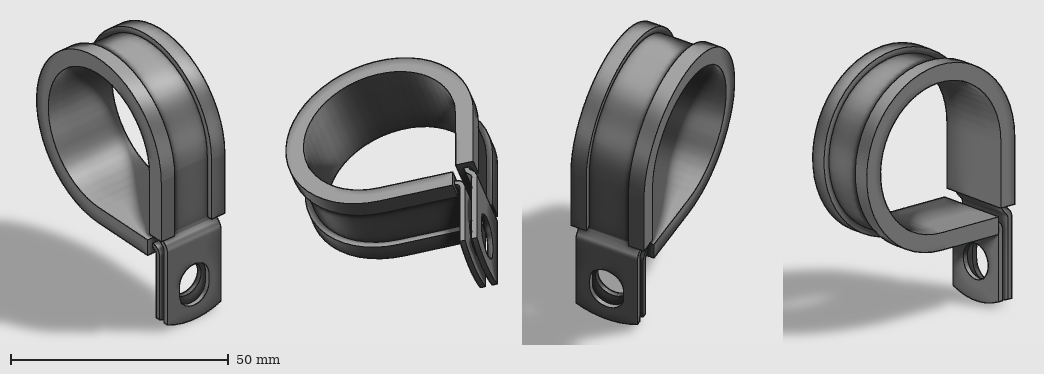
import cadquery as cq
import math

cushion_outer_radius = 22.5
cushion_inner_radius = 18.25
cushion_width = 18.92
lip_width = 4.0
upright_end_z = -16.3
bottom_end_x = 17.57

band_thickness = 1.25
band_width = 15.92
band_outer_radius = 21.0
bend_inner_radius = 1.25
jog_angle = math.radians(45)

tab_outer_x = 22.91
tab_gap = 1.6
tab_bottom_z = -41.22
tab_tip_radius = 19.5
hole_diameter = 8.7
hole_z = -31.7
slot_length = 11.2

groove_width = cushion_width - 2 * lip_width
band_radius = band_outer_radius - band_thickness / 2
bend_radius = bend_inner_radius + band_thickness / 2
outer_tab_x = tab_outer_x - band_thickness / 2
inner_tab_x = outer_tab_x - tab_gap - band_thickness
gap_middle_x = (inner_tab_x + outer_tab_x) / 2


def on_circle(radius, angle):
    """Point at an angle from +X on a circle about the clamp axis."""
    return (radius * math.cos(angle), radius * math.sin(angle))


def wrapped_strip(inner_radius, outer_radius, width):
    """Strip of rectangular section: upright leg, three-quarter turn, bottom leg."""
    mid_turn = math.radians(135)
    return (
        cq.Workplane("XZ")
        .moveTo(outer_radius, upright_end_z)
        .lineTo(outer_radius, 0)
        .threePointArc(on_circle(outer_radius, mid_turn), (0, -outer_radius))
        .lineTo(bottom_end_x, -outer_radius)
        .lineTo(bottom_end_x, -inner_radius)
        .lineTo(0, -inner_radius)
        .threePointArc(on_circle(inner_radius, mid_turn), (inner_radius, 0))
        .lineTo(inner_radius, upright_end_z)
        .close()
        .extrude(width / 2, both=True)
    )


def make_cushion():
    """Rubber strip with a central groove that exposes the band between two lips."""
    body = wrapped_strip(cushion_inner_radius, cushion_outer_radius, cushion_width)
    groove = wrapped_strip(band_outer_radius, cushion_outer_radius, groove_width)
    return body.cut(groove)


def band_centreline():
    """Mid-thickness path of the band from the inner tab, round the loop, to the outer tab."""
    arc_shift = bend_radius * (1 - math.cos(jog_angle))
    arc_drop = bend_radius * math.sin(jog_angle)
    slant_shift = outer_tab_x - band_radius - 2 * arc_shift
    slant_start = (band_radius + arc_shift, upright_end_z - arc_drop)
    slant_end = (
        slant_start[0] + slant_shift,
        slant_start[1] - slant_shift / math.tan(jog_angle),
    )
    return (
        cq.Workplane("XZ")
        .moveTo(inner_tab_x, tab_bottom_z)
        .lineTo(inner_tab_x, -band_radius - bend_radius)
        .tangentArcPoint((inner_tab_x - bend_radius, -band_radius), relative=False)
        .lineTo(0, -band_radius)
        .tangentArcPoint((band_radius, 0), relative=False)
        .lineTo(band_radius, upright_end_z)
        .tangentArcPoint(slant_start, relative=False)
        .lineTo(*slant_end)
        .tangentArcPoint((outer_tab_x, slant_end[1] - arc_drop), relative=False)
        .lineTo(outer_tab_x, tab_bottom_z)
    )


def tab_trim():
    """Block spanning the whole clamp, as wide as the band, with a rounded lower edge."""
    half_width = band_width / 2
    tip_rise = tab_tip_radius - math.sqrt(tab_tip_radius**2 - half_width**2)
    return (
        cq.Workplane("YZ")
        .moveTo(-half_width, cushion_outer_radius)
        .lineTo(-half_width, tab_bottom_z + tip_rise)
        .threePointArc((0, tab_bottom_z), (half_width, tab_bottom_z + tip_rise))
        .lineTo(half_width, cushion_outer_radius)
        .close()
        .extrude(tab_outer_x + band_thickness, both=True)
    )


def make_band():
    """Constant-section metal band with round-ended tabs, one drilled and one slotted."""
    strip = (
        cq.Workplane("XY", origin=(inner_tab_x, 0, tab_bottom_z))
        .rect(band_thickness, band_width)
        .sweep(band_centreline())
    )
    round_hole = (
        cq.Workplane("YZ")
        .center(0, hole_z)
        .circle(hole_diameter / 2)
        .extrude(gap_middle_x)
    )
    slot = (
        cq.Workplane("YZ", origin=(gap_middle_x, 0, hole_z))
        .slot2D(slot_length, hole_diameter, 90)
        .extrude(tab_gap + band_thickness)
    )
    return strip.intersect(tab_trim()).cut(round_hole).cut(slot)


result = make_cushion().union(make_band())